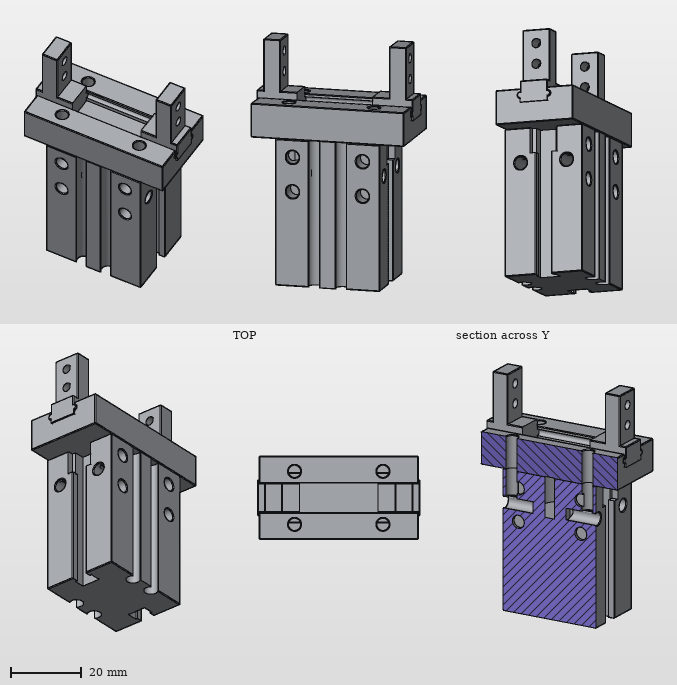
import cadquery as cq
import math


EDGE = 0.25
SIDES = (-1, 1)

BODY_LENGTH = 30.7
DEPTH = 23.6
BODY_HEIGHT = 42.5

GROOVE_X = 3.95
GROOVE_RADIUS = 2.0
GROOVE_CENTRE_DEPTH = 1.45
GROOVE_NECK = 2.9

SLOT_NECK = 4.65
SLOT_NECK_DEPTH = 1.95
SLOT_WIDE = 5.9
SLOT_DEPTH = 5.2
RECESS_WIDTH = 8.3
RECESS_FLOOR_Z = 35.2

SIDE_HOLE_RADIUS = 1.9
FACE_HOLE_X = 10.3
FACE_HOLE_HEIGHTS = (27.45, 37.45)
FACE_HOLE_DEPTH = 4.7
PORT_Y = 7.0
PORT_Z = 32.5
CYLINDER_RADIUS = 8.0
PORT_WALL_Y = 5.8
PORT_DEPTH = BODY_LENGTH / 2 - math.sqrt(CYLINDER_RADIUS**2 - PORT_WALL_Y**2)
CYLINDER_FLOOR_Z = PORT_Z - SIDE_HOLE_RADIUS - EDGE

SCREW_X = 12.5
SCREW_Y = 7.5
SCREW_RADIUS = 1.75
PORT_OVERLAP = 0.01
SCREW_FLOOR_Z = PORT_Z + SIDE_HOLE_RADIUS - PORT_OVERLAP

RAIL_LENGTH = 45.05
RAIL_TOP_Z = 52.4

FINGER_WIDTH = 8.3
FINGER_BOTTOM_Z = 48.45
RIDGE_Z = 50.5
RIDGE_RADIUS = 1.0
FOOT_INNER_X = 11.1
FOOT_OUTER_X = 23.0
FOOT_TOP_Z = 54.55
POST_INNER_X = 16.0
POST_OUTER_X = 21.0
FINGER_TOP_Z = 69.5
FINGER_HOLE_RADIUS = 1.3
FINGER_HOLE_HEIGHTS = (59.55, 65.55)


def block(x_min, x_max, width, z_min, z_max):
    """Block between two X planes and two Z planes, centred on Y = 0."""
    return (
        cq.Workplane("XY")
        .box(x_max - x_min, width, z_max - z_min, centered=(False, True, False))
        .translate((x_min, 0, z_min))
    )


def cylinder(base, direction, radius, length):
    """Round bar that starts at a base point and runs along a direction."""
    return cq.Workplane(cq.Solid.makeCylinder(radius, length, cq.Vector(*base), cq.Vector(*direction)))


def countersunk_hole(base, direction, depth):
    """Blind hole tool that starts on a face and runs into the body."""
    mouth = cq.Solid.makeCone(
        SIDE_HOLE_RADIUS + EDGE, SIDE_HOLE_RADIUS, EDGE, cq.Vector(*base), cq.Vector(*direction)
    )
    return cylinder(base, direction, SIDE_HOLE_RADIUS, depth).union(cq.Workplane(mouth))


def guide_profile(x_min, x_max, z_top):
    """Bar along X with a round ridge on each long side."""
    bar = block(x_min, x_max, FINGER_WIDTH, FINGER_BOTTOM_Z, z_top)
    for side in SIDES:
        ridge_start = (x_min, side * FINGER_WIDTH / 2, RIDGE_Z)
        bar = bar.union(cylinder(ridge_start, (1, 0, 0), RIDGE_RADIUS, x_max - x_min))
    return bar


def screw_holes(z_min, z_max):
    """Four vertical hole tools at the corners of a rectangle."""
    tools = cq.Workplane("XY").workplane(offset=z_min)
    tools = tools.rect(2 * SCREW_X, 2 * SCREW_Y, forConstruction=True).vertices()
    return tools.circle(SCREW_RADIUS).extrude(z_max - z_min)


def sensor_groove(x, side):
    """Round groove with a bevelled neck, open on the face at Y = side * DEPTH / 2."""
    face_y = side * DEPTH / 2
    neck_y = face_y - side * EDGE
    axis_y = face_y - side * GROOVE_CENTRE_DEPTH
    half_neck = GROOVE_NECK / 2
    half_mouth = half_neck + EDGE
    neck = (
        cq.Workplane("XY")
        .polyline([
            (x - half_mouth, face_y),
            (x - half_neck, neck_y),
            (x - half_neck, axis_y),
            (x + half_neck, axis_y),
            (x + half_neck, neck_y),
            (x + half_mouth, face_y),
        ])
        .close()
        .extrude(BODY_HEIGHT)
    )
    return neck.union(cylinder((x, axis_y, 0), (0, 0, 1), GROOVE_RADIUS, BODY_HEIGHT))


def end_slot(side):
    """T-slot with a bevelled mouth and a wider entry at the top, in the face at X = side * length / 2."""
    face_x = side * BODY_LENGTH / 2
    bevel_x = face_x - side * EDGE
    neck_x = face_x - side * SLOT_NECK_DEPTH
    floor_x = face_x - side * SLOT_DEPTH
    half_outline = [
        (face_x, SLOT_NECK / 2 + EDGE),
        (bevel_x, SLOT_NECK / 2),
        (neck_x, SLOT_NECK / 2),
        (neck_x, SLOT_WIDE / 2),
        (floor_x, SLOT_WIDE / 2),
    ]
    other_half = [(x, -y) for x, y in reversed(half_outline)]
    slot = cq.Workplane("XY").polyline(half_outline + other_half).close().extrude(BODY_HEIGHT)
    recess = block(min(face_x, neck_x), max(face_x, neck_x), RECESS_WIDTH, RECESS_FLOOR_Z, BODY_HEIGHT)
    return slot.union(recess)


def make_body():
    body = block(-BODY_LENGTH / 2, BODY_LENGTH / 2, DEPTH, 0, BODY_HEIGHT)
    body = body.edges().chamfer(EDGE)
    body = body.union(block(-GROOVE_X, GROOVE_X, DEPTH, 0, BODY_HEIGHT))
    body = body.cut(screw_holes(SCREW_FLOOR_Z, BODY_HEIGHT))
    body = body.cut(cylinder((0, 0, CYLINDER_FLOOR_Z), (0, 0, 1), CYLINDER_RADIUS, BODY_HEIGHT))
    for side in SIDES:
        body = body.cut(end_slot(side))
        for other_side in SIDES:
            body = body.cut(sensor_groove(other_side * GROOVE_X, side))
            port_base = (side * BODY_LENGTH / 2, other_side * PORT_Y, PORT_Z)
            body = body.cut(countersunk_hole(port_base, (-side, 0, 0), PORT_DEPTH))
            for z in FACE_HOLE_HEIGHTS:
                hole_base = (other_side * FACE_HOLE_X, side * DEPTH / 2, z)
                body = body.cut(countersunk_hole(hole_base, (0, -side, 0), FACE_HOLE_DEPTH))
    return body


def make_rail():
    rail = block(-RAIL_LENGTH / 2, RAIL_LENGTH / 2, DEPTH, BODY_HEIGHT, RAIL_TOP_Z)
    rail = rail.cut(guide_profile(-RAIL_LENGTH / 2, RAIL_LENGTH / 2, RAIL_TOP_Z))
    rail = rail.edges("|Z and (<Y or >Y) or <Z or >Z").chamfer(EDGE)
    rail = rail.cut(screw_holes(BODY_HEIGHT, RAIL_TOP_Z))
    return rail.faces(">Z").edges("%CIRCLE").chamfer(EDGE)


def make_finger(side):
    """L-shaped finger that slides in the rail, on the side of +X or -X."""
    post = block(POST_INNER_X, POST_OUTER_X, FINGER_WIDTH, FOOT_TOP_Z - EDGE, FINGER_TOP_Z)
    post = post.edges("|Z or >Z").chamfer(EDGE)
    post_length = POST_OUTER_X - POST_INNER_X
    for z in FINGER_HOLE_HEIGHTS:
        post = post.cut(cylinder((POST_INNER_X, 0, z), (1, 0, 0), FINGER_HOLE_RADIUS, post_length))
    foot = guide_profile(FOOT_INNER_X, FOOT_OUTER_X, FOOT_TOP_Z)
    upper_end = cq.selectors.BoxSelector(
        (FOOT_OUTER_X - EDGE, -DEPTH, RIDGE_Z - EDGE), (FOOT_OUTER_X + EDGE, DEPTH, FINGER_TOP_Z)
    )
    foot = foot.faces(">X").edges(upper_end).chamfer(EDGE)
    foot = foot.faces(">Z").edges("|X").chamfer(EDGE)
    finger = foot.union(post)
    return finger if side > 0 else finger.mirror("YZ")


body = make_body()
rail = make_rail()
fingers = [make_finger(side) for side in SIDES]

result = cq.Compound.makeCompound([body.val(), rail.val(), *[finger.val() for finger in fingers]])